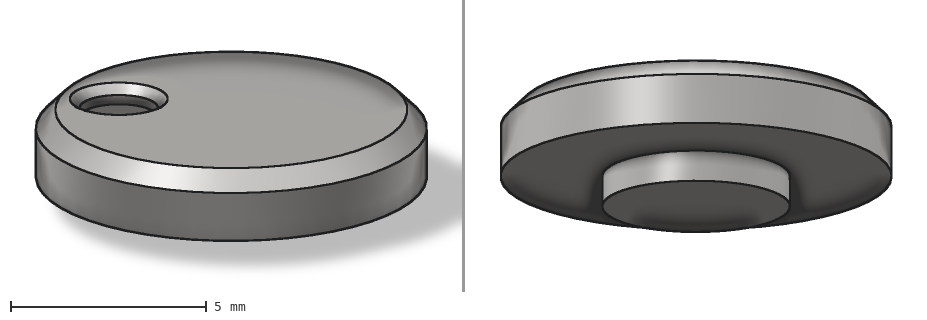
import cadquery as cq

disc_diameter = 10.0
disc_height = 1.8
rim_chamfer = 0.5

boss_diameter = 4.8
boss_height = 0.8

dimple_diameter = 2.0
dimple_depth = 0.5
dimple_chamfer = 0.25
dimple_x = -3.0


def make_disc():
    """Disc standing on Z = 0 with a chamfered top rim."""
    disc = cq.Workplane("XY").circle(disc_diameter / 2).extrude(disc_height)
    return disc.faces(">Z").edges().chamfer(rim_chamfer)


def make_boss():
    """Cylinder hanging below the disc, on the same axis."""
    return cq.Workplane("XY").circle(boss_diameter / 2).extrude(-boss_height)


def make_dimple():
    """Flat-bottomed recess, revolved about its own vertical axis."""
    radius = dimple_diameter / 2
    mouth_radius = radius + dimple_chamfer
    floor_z = disc_height - dimple_depth
    profile = (
        cq.Workplane("XZ", origin=(dimple_x, 0, 0))
        .moveTo(0, floor_z)
        .lineTo(radius, floor_z)
        .lineTo(radius, disc_height - dimple_chamfer)
        .lineTo(mouth_radius, disc_height)
        .lineTo(0, disc_height)
        .close()
    )
    return profile.revolve(360, (0, 0), (0, 1))


result = make_disc().union(make_boss()).cut(make_dimple())